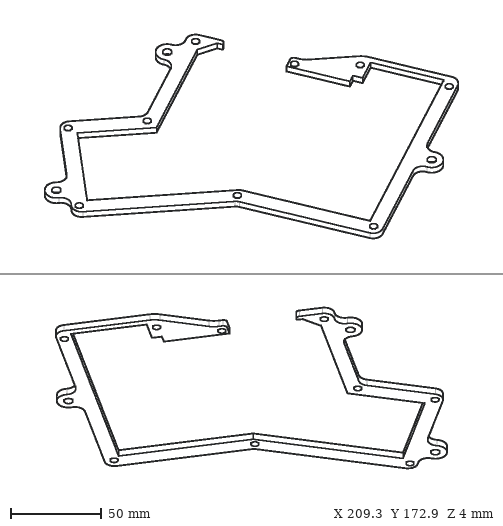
import cadquery as cq
import math

thickness = 4.0
top_y = 173.0
tilt = math.radians(25.2)
corner_radius = 5.6
bend_radius = 12.5
tip_radius = 2.0

right_outer_x = 196.0
right_inner_x = 187.3
top_inner_y = 169.0
bottom_outer_y = 37.2
bottom_inner_y = 46.7

strap_left_x = 41.6
strap_right_x = 50.5
strap_foot_y = 79.3
shelf_y = 158.8
step_y = 155.7
hook_end_x = 62.4
hook_root_x = 59.0
hook_slope = 1.0

tab_left_x = 101.5
tab_bottom_y = 150.7
tab_step_x = 138.7
tab_right_x = 144.4
slope_top_x = 139.0

heel_inner_x = 10.7
toe_inner = (34.1, 10.5)
upper_strut_width = 10.0
lower_strut_width = 9.2

boss_radius = 6.5
left_boss = (35.4, 139.8)
right_boss = (202.8, 105.2)
lower_boss = (15.3, 12.5)
boss_hole_diameter = 5.0
frame_hole_diameter = 4.4
frame_holes = [
    (139.5, 165.3), (191.9, 165.0), (105.0, 154.0), (47.3, 153.2), (43.7, 82.9),
    (4.4, 62.8), (190.6, 43.0), (111.1, 41.8), (31.4, 4.8),
]

along = (math.cos(tilt), math.sin(tilt))
across = (-math.sin(tilt), math.cos(tilt))


def shift(point, direction, distance):
    return (point[0] + direction[0] * distance, point[1] + direction[1] * distance)


def unit(start, end):
    length = math.dist(start, end)
    return ((end[0] - start[0]) / length, (end[1] - start[1]) / length)


def rounded_outline(corners):
    """Closed wire through (point, radius) corners; radius 0 keeps a corner sharp."""
    wire = None
    for i, (point, radius) in enumerate(corners):
        before = unit(point, corners[i - 1][0])
        after = unit(point, corners[(i + 1) % len(corners)][0])
        half_angle = math.acos(before[0] * after[0] + before[1] * after[1]) / 2
        setback = radius / math.tan(half_angle)
        start = shift(point, before, setback)
        wire = cq.Workplane("XY").moveTo(*start) if wire is None else wire.lineTo(*start)
        if radius > 0:
            end = shift(point, after, setback)
            chord_middle = ((start[0] + end[0]) / 2, (start[1] + end[1]) / 2)
            inset = radius / math.sin(half_angle) - radius
            middle = shift(point, unit(point, chord_middle), inset)
            wire = wire.threePointArc(middle, end)
    return wire.close()


def disc(center, radius):
    return cq.Workplane("XY").center(*center).circle(radius).extrude(thickness)


def wall_blend(boss, wall_point, wall_dir, outward, side):
    """Blend circle tangent to the boss and a wall: its centre and its foot on the wall.

    side is +1 or -1 along wall_dir and picks the side of the boss.
    """
    offset = (boss[0] - wall_point[0], boss[1] - wall_point[1])
    height = offset[0] * outward[0] + offset[1] * outward[1]
    position = offset[0] * wall_dir[0] + offset[1] * wall_dir[1]
    reach = math.sqrt((boss_radius + corner_radius) ** 2 - (height - corner_radius) ** 2)
    foot = shift(wall_point, wall_dir, position + side * reach)
    return shift(foot, outward, corner_radius), foot


def boss_pad(boss, web, blend_centers):
    """Boss disc joined to the frame by a web whose flanks are concave arcs."""
    pad = cq.Workplane("XY").polyline(web).close().extrude(thickness)
    for center in blend_centers:
        pad = pad.cut(disc(center, corner_radius))
    return pad.union(disc(boss, boss_radius))


def side_boss(boss, wall_x, root_x, outward_x):
    """Boss beside an upright wall, with a blend above and below."""
    wall = (wall_x, boss[1])
    upper, upper_foot = wall_blend(boss, wall, (0, 1), (outward_x, 0), 1)
    lower, lower_foot = wall_blend(boss, wall, (0, 1), (outward_x, 0), -1)
    web = [
        upper_foot, upper, boss, lower, lower_foot,
        (root_x, lower_foot[1]), (root_x, upper_foot[1]),
    ]
    return boss_pad(boss, web, [upper, lower])


slope = math.tan(tilt)
strap_foot = (strap_right_x, strap_foot_y)
heel_inner = (heel_inner_x, strap_foot_y - slope * (strap_right_x - heel_inner_x))
heel_outer = shift(shift(heel_inner, across, upper_strut_width), along, -lower_strut_width)
toe_outer = shift(shift(toe_inner, across, -lower_strut_width), along, -lower_strut_width)
knee_outer = (toe_outer[0] + (bottom_outer_y - toe_outer[1]) / slope, bottom_outer_y)
knee_inner = (toe_inner[0] + (bottom_inner_y - toe_inner[1]) / slope, bottom_inner_y)
strap_elbow = (strap_left_x, heel_outer[1] + slope * (strap_left_x - heel_outer[0]))
hook_root_y = step_y - hook_slope * (hook_root_x - strap_right_x)
slope_foot_x = slope_top_x - (top_y - shelf_y) / slope

frame = rounded_outline([
    ((hook_end_x, shelf_y), tip_radius),
    ((hook_end_x, step_y), 0),
    ((hook_root_x, step_y), 0),
    ((strap_right_x, hook_root_y), 0),
    (strap_foot, 0),
    (heel_inner, 0),
    (toe_inner, 0),
    (knee_inner, 0),
    ((right_inner_x, bottom_inner_y), 0),
    ((right_inner_x, top_inner_y), 0),
    ((tab_right_x, top_inner_y), 0),
    ((tab_right_x, step_y), 0),
    ((tab_step_x, step_y), 0),
    ((tab_step_x, tab_bottom_y), 0),
    ((tab_left_x, tab_bottom_y), 0),
    ((tab_left_x, shelf_y), tip_radius),
    ((slope_foot_x, shelf_y), bend_radius),
    ((slope_top_x, top_y), bend_radius),
    ((right_outer_x, top_y), corner_radius),
    ((right_outer_x, bottom_outer_y), corner_radius),
    (knee_outer, corner_radius),
    (toe_outer, corner_radius),
    (heel_outer, corner_radius),
    (strap_elbow, corner_radius),
    ((strap_left_x, shelf_y), corner_radius),
]).extrude(thickness)


def toe_boss():
    """Boss outside the toe, blended into the slanted strut and into the rounded toe."""
    outward = (-along[0], -along[1])
    upper, upper_foot = wall_blend(lower_boss, toe_outer, across, outward, 1)
    toe_center = shift(shift(toe_outer, across, corner_radius), along, corner_radius)
    boss_to_toe = unit(lower_boss, toe_center)
    span = math.dist(lower_boss, toe_center)
    boss_reach = boss_radius + corner_radius
    toe_reach = 2 * corner_radius
    base = (span**2 + boss_reach**2 - toe_reach**2) / (2 * span)
    drop = math.sqrt(boss_reach**2 - base**2)
    downward = (boss_to_toe[1], -boss_to_toe[0])
    lower = shift(shift(lower_boss, boss_to_toe, base), downward, drop)
    web = [upper_foot, upper, lower_boss, lower, toe_center, shift(upper_foot, along, corner_radius)]
    return boss_pad(lower_boss, web, [upper, lower])


plate = (
    frame
    .union(side_boss(left_boss, strap_left_x, strap_right_x, -1))
    .union(side_boss(right_boss, right_outer_x, right_inner_x, 1))
    .union(toe_boss())
)

for hole in frame_holes:
    plate = plate.cut(disc(hole, frame_hole_diameter / 2))
for hole in (left_boss, right_boss, lower_boss):
    plate = plate.cut(disc(hole, boss_hole_diameter / 2))

result = plate